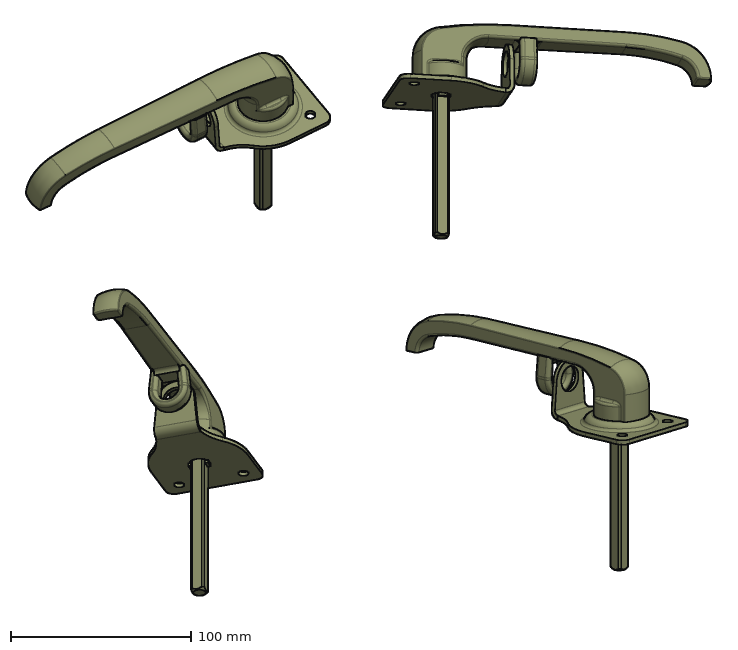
import cadquery as cq
import math


plate_thickness = 2.5
plate_half_width = 28.6
plate_back_y = 28.2
plate_corner_radius = 5.0
screw_hole_offset = 19.0
screw_hole_diameter = 5.6
shoulder_end_y = -19.7
flange_outer_y = -39.0
bend_outer_radius = 2 * plate_thickness
flange_base_half_width = 13.0
flange_tip_radius = 11.0
flange_hole_z = 20.6
flange_hole_diameter = 14.3

dome_top_z = 6.9
dome_flat_radius = 15.4
dome_waist_radius = 19.5
dome_waist_z = 4.2
dome_foot_radius = 21.7
spindle_bore_diameter = 10.9

hub_diameter = 28.5
hub_radius = hub_diameter / 2
hub_top_z = 16.6
hub_edge_fillet = 1.5
hub_flank_fillet = 1.6

overall_length = 181.0
lever_back_y = 15.7
lever_tip_y = plate_back_y - overall_length
lever_tip_z = 16.8
crest_z = 42.5
crest_flat_back_y = -36.2
crest_flat_front_y = -103.2
back_arc_radius = 16.3
back_arc_center_z = 22.8
tip_arc_radius = 22.6
underside_z = 32.5
tip_thickness = 9.5
tip_inner_radius = 11.8
throat_radius = 12.0
lever_back_half_width = 10.5
lever_tip_half_width = 7.5
crown_radius = 21.7
crown_half_width = 12.7
crown_depth = 5.5
core_inset = 3.6
crest_edge_fillet = 0.5
underside_edge_fillet = 1.6
tip_end_fillet = 0.9

loop_center_y = -47.8
loop_width = 9.8
loop_center_z = 20.8
loop_outer_radius = 11.4
loop_hole_diameter = 12.7
loop_shoulder_z = 22.3
loop_top_half_width = 10.1
loop_slot_top_half_width = 5.2
loop_edge_fillet = 2.26
loop_flare_radius = 2.7
loop_root_z = 33.7

spindle_width = 8.0
spindle_corner_chamfer = 1.0
spindle_bottom_z = -82.2
spindle_top_z = 16.3
spindle_end_chamfer = 1.5
key_length = 11.8
key_width = 4.7
key_height = 1.6


def flat_blend(center, radius, flat_point):
    """Point where an arc about center meets the large arc tangent to it and to the flat at flat_point."""
    run = center[0] - flat_point[0]
    rise = flat_point[1] - center[1]
    large_radius = (run**2 + rise**2 - radius**2) / (2 * (rise - radius))
    lift = large_radius - rise
    distance = math.hypot(run, lift)
    return (center[0] + radius * run / distance, center[1] + radius * lift / distance)


def crest_line(inset):
    """Lever top line in the YZ plane, from the hub base over the crest down to the tip."""
    back_radius = back_arc_radius - inset
    tip_radius = tip_arc_radius - inset
    top_z = crest_z - inset
    back_center = (lever_back_y - back_arc_radius, back_arc_center_z)
    tip_center = (lever_tip_y + tip_arc_radius, lever_tip_z)
    back_flat = (crest_flat_back_y, top_z)
    front_flat = (crest_flat_front_y, top_z)
    return (
        cq.Workplane("YZ")
        .moveTo(lever_back_y - inset, dome_top_z)
        .lineTo(lever_back_y - inset, back_arc_center_z)
        .tangentArcPoint(flat_blend(back_center, back_radius, back_flat), relative=False)
        .tangentArcPoint(back_flat, relative=False)
        .lineTo(*front_flat)
        .tangentArcPoint(flat_blend(tip_center, tip_radius, front_flat), relative=False)
        .tangentArcPoint((lever_tip_y + inset, lever_tip_z), relative=False)
    )


def lever_crown():
    """Rounded outer skin of the lever, swept along the crest line."""
    edge_y = lever_back_y - crown_radius + math.sqrt(crown_radius**2 - crown_half_width**2)
    section = (
        cq.Workplane("XY", origin=(0, 0, dome_top_z))
        .moveTo(-crown_half_width, lever_back_y - crown_depth)
        .lineTo(-crown_half_width, edge_y)
        .threePointArc((0, lever_back_y), (crown_half_width, edge_y))
        .lineTo(crown_half_width, lever_back_y - crown_depth)
        .close()
    )
    return section.sweep(crest_line(0))


def lever_core():
    """Inner part of the lever, between the crown and the underside."""
    inner_y = lever_tip_y + tip_thickness
    inner_center = (inner_y + tip_inner_radius, lever_tip_z)
    underside_start = (crest_flat_front_y, underside_z)
    inner_reach = tip_inner_radius * math.sqrt(0.5)
    return (
        crest_line(core_inset)
        .lineTo(inner_y, lever_tip_z)
        .threePointArc(
            (inner_center[0] - inner_reach, inner_center[1] + inner_reach),
            flat_blend(inner_center, tip_inner_radius, underside_start),
        )
        .tangentArcPoint(underside_start, relative=False)
        .lineTo(-hub_radius - throat_radius, underside_z)
        .lineTo(-hub_radius, dome_top_z)
        .close()
        .extrude(crown_half_width, both=True)
    )


def lever_plan():
    """Tapering plan outline of the lever, as a tall prism."""
    return (
        cq.Workplane("XY")
        .moveTo(-lever_back_half_width, lever_back_y)
        .lineTo(lever_back_half_width, lever_back_y)
        .lineTo(lever_tip_half_width, lever_tip_y)
        .lineTo(-lever_tip_half_width, lever_tip_y)
        .close()
        .extrude(crest_z)
    )


def throat():
    """Space in front of the hub: below the lever, outside a flare turned about the hub axis."""
    flare_x = hub_radius + throat_radius
    flare_z = underside_z - throat_radius
    flare_reach = throat_radius * math.sqrt(0.5)
    return (
        cq.Workplane("XZ")
        .moveTo(hub_radius, 0)
        .lineTo(hub_radius, flare_z)
        .threePointArc((flare_x - flare_reach, flare_z + flare_reach), (flare_x, underside_z))
        .lineTo(flare_x + throat_radius, underside_z)
        .lineTo(flare_x + throat_radius, 0)
        .close()
        .revolve(180, (0, 0, 0), (0, -1, 0))
    )


def is_crest_edge(edge):
    """True for a flank edge along the crest or up the back of the lever."""
    box = edge.BoundingBox()
    return box.zmax > underside_z + crest_edge_fillet or (box.ymin > 0 and box.zmax > hub_top_z)


def is_underside_edge(edge):
    """True for a flank edge along the underside, the throat or the front of the hub."""
    box = edge.BoundingBox()
    return box.zmax > lever_tip_z + crest_edge_fillet and not is_crest_edge(edge)


def is_hub_edge(edge):
    """True for a flank edge where the hub side or hub top meets the flank, behind the hub front."""
    box = edge.BoundingBox()
    return hub_top_z - 0.2 < box.zmax < hub_top_z + 0.2


def flank_edges(body, wanted):
    """Edges of the two flat lever flanks that the function wanted accepts."""
    flanks = [face for face in body.faces("%PLANE").vals() if abs(face.normalAt().x) > 0.9]
    return [edge for flank in flanks for edge in flank.Edges() if wanted(edge)]


def build_lever():
    """Lever with rounded crest, underside and tip edges."""
    lever = lever_crown().union(lever_core()).intersect(lever_plan()).cut(throat())
    lever = lever.newObject(flank_edges(lever, is_underside_edge)).fillet(underside_edge_fillet)
    lever = lever.newObject(flank_edges(lever, is_crest_edge)).fillet(crest_edge_fillet)
    tip_end = cq.selectors.NearestToPointSelector((0, lever_tip_y + tip_thickness / 2, lever_tip_z))
    return lever.faces(tip_end).edges().fillet(tip_end_fillet)


def build_hub():
    """Round hub below the lever, with a rounded top edge."""
    return (
        cq.Workplane("XY", origin=(0, 0, dome_top_z))
        .circle(hub_radius)
        .extrude(hub_top_z - dome_top_z)
        .faces(">Z")
        .edges()
        .fillet(hub_edge_fillet)
    )


def build_loop():
    """Locking loop: two legs joined by a half ring, with rounded front and back edges."""
    hole_radius = loop_hole_diameter / 2
    loop_plane = cq.Workplane("XZ", origin=(0, loop_center_y + loop_width / 2, 0))
    loop = (
        loop_plane.moveTo(-loop_top_half_width, loop_root_z)
        .lineTo(-loop_outer_radius, loop_shoulder_z)
        .lineTo(-loop_outer_radius, loop_center_z)
        .threePointArc((0, loop_center_z - loop_outer_radius), (loop_outer_radius, loop_center_z))
        .lineTo(loop_outer_radius, loop_shoulder_z)
        .lineTo(loop_top_half_width, loop_root_z)
        .close()
        .extrude(loop_width)
    )
    slot = (
        loop_plane.moveTo(-loop_slot_top_half_width, loop_root_z)
        .lineTo(-hole_radius, loop_center_z)
        .threePointArc((0, loop_center_z - hole_radius), (hole_radius, loop_center_z))
        .lineTo(loop_slot_top_half_width, loop_root_z)
        .close()
        .extrude(loop_width)
    )
    return loop.cut(slot).faces("<Y or >Y").edges("not >Z").fillet(loop_edge_fillet)


def build_loop_flares():
    """Concave webs that lead the front and back of the loop legs into the lever underside."""
    half_width = loop_width / 2
    inset_y = half_width - loop_edge_fillet
    flare_y = half_width + loop_flare_radius
    flare_z = underside_z - loop_flare_radius
    flare_reach = loop_flare_radius * math.sqrt(0.5)
    return (
        cq.Workplane("YZ", origin=(0, loop_center_y, 0))
        .moveTo(-inset_y, loop_root_z)
        .lineTo(-flare_y, loop_root_z)
        .lineTo(-flare_y, underside_z)
        .threePointArc((-flare_y + flare_reach, flare_z + flare_reach), (-half_width, flare_z))
        .lineTo(half_width, flare_z)
        .threePointArc((flare_y - flare_reach, flare_z + flare_reach), (flare_y, underside_z))
        .lineTo(flare_y, loop_root_z)
        .close()
        .extrude(loop_slot_top_half_width + loop_edge_fillet, both=True)
    )


def spindle_square():
    """Full-length spindle bar with chamfered corners."""
    return (
        cq.Workplane("XY", origin=(0, 0, spindle_bottom_z))
        .rect(spindle_width, spindle_width)
        .extrude(spindle_top_z - spindle_bottom_z)
        .edges("|Z")
        .chamfer(spindle_corner_chamfer)
    )


def build_key():
    """Flat cross key through the spindle, bearing on the underside of the plate."""
    return cq.Workplane("XY", origin=(0, 0, -key_height)).rect(key_length, key_width).extrude(key_height)


def build_spindle():
    """Square spindle with a coned lower end and a cross slot for the key."""
    corner_radius = math.hypot(spindle_width / 2, spindle_width / 2 - spindle_corner_chamfer)
    turned_blank = (
        cq.Workplane("XY", origin=(0, 0, spindle_bottom_z))
        .circle(corner_radius)
        .extrude(spindle_top_z - spindle_bottom_z)
        .faces("<Z")
        .edges()
        .chamfer(spindle_end_chamfer)
    )
    return spindle_square().intersect(turned_blank).cut(build_key())


def build_handle():
    """Lever, hub and locking loop in one casting, with a socket for the spindle."""
    handle = build_lever().union(build_hub())
    handle = handle.newObject(flank_edges(handle, is_hub_edge)).fillet(hub_flank_fillet)
    handle = handle.union(build_loop_flares()).union(build_loop())
    return handle.cut(spindle_square())


def build_plate_sheet():
    """Flat sheet with shoulders that curve in about the turning axis, then out to the flange."""
    shoulder_angle = math.asin(-shoulder_end_y / plate_half_width)
    shoulder_x = plate_half_width * math.cos(shoulder_angle)
    bend_y = flange_outer_y + bend_outer_radius
    neck_offset = math.sqrt(plate_half_width**2 - (bend_y - 2 * shoulder_end_y) ** 2)
    half_sheet = (
        cq.Workplane("XY")
        .moveTo(0, plate_back_y)
        .lineTo(plate_half_width, plate_back_y)
        .lineTo(plate_half_width, 0)
        .threePointArc(
            (
                plate_half_width * math.cos(shoulder_angle / 2),
                -plate_half_width * math.sin(shoulder_angle / 2),
            ),
            (shoulder_x, shoulder_end_y),
        )
        .tangentArcPoint((2 * shoulder_x - neck_offset, bend_y), relative=False)
        .lineTo(0, bend_y)
        .close()
        .extrude(plate_thickness)
        .edges("|Z and >X and >Y")
        .fillet(plate_corner_radius)
    )
    return half_sheet.union(half_sheet.mirror("YZ"))


def build_flange():
    """Bent-up flange with a tapered outline, a round top and a padlock hole."""
    flange_height = flange_hole_z + flange_tip_radius
    bend_y = flange_outer_y + bend_outer_radius
    strip = (
        cq.Workplane("YZ")
        .moveTo(bend_y, 0)
        .radiusArc((flange_outer_y, bend_outer_radius), bend_outer_radius)
        .lineTo(flange_outer_y, flange_height)
        .lineTo(flange_outer_y + plate_thickness, flange_height)
        .lineTo(flange_outer_y + plate_thickness, bend_outer_radius)
        .radiusArc((bend_y, plate_thickness), plate_thickness - bend_outer_radius)
        .close()
        .extrude(flange_base_half_width, both=True)
    )
    outline = (
        cq.Workplane("XZ", origin=(0, bend_y, 0))
        .moveTo(-flange_base_half_width, 0)
        .lineTo(-flange_tip_radius, flange_hole_z)
        .threePointArc((0, flange_height), (flange_tip_radius, flange_hole_z))
        .lineTo(flange_base_half_width, 0)
        .close()
        .extrude(bend_outer_radius)
    )
    hole = (
        cq.Workplane("XZ", origin=(0, bend_y, flange_hole_z))
        .circle(flange_hole_diameter / 2)
        .extrude(bend_outer_radius)
    )
    return strip.intersect(outline).cut(hole)


def build_dome():
    """Dome turned about the Z axis: a flat top rolling over into a hollow foot on the plate."""
    top_run = dome_waist_radius - dome_flat_radius
    top_drop = dome_top_z - dome_waist_z
    foot_run = dome_foot_radius - dome_waist_radius
    foot_drop = dome_waist_z - plate_thickness
    top_arc_radius = (top_run**2 + top_drop**2) / (2 * top_drop)
    foot_arc_radius = (foot_run**2 + foot_drop**2) / (2 * foot_drop)
    return (
        cq.Workplane("XZ")
        .lineTo(0, dome_top_z)
        .lineTo(dome_flat_radius, dome_top_z)
        .radiusArc((dome_waist_radius, dome_waist_z), top_arc_radius)
        .radiusArc((dome_foot_radius, plate_thickness), -foot_arc_radius)
        .lineTo(dome_foot_radius, 0)
        .close()
        .revolve(360, (0, 0, 0), (0, 1, 0))
    )


def build_plate():
    """Mounting plate with dome, flange, screw holes and the spindle bore."""
    plate = build_plate_sheet().union(build_flange()).union(build_dome())
    screw_holes = (
        cq.Workplane("XY")
        .pushPoints([(side * screw_hole_offset, screw_hole_offset) for side in (-1, 1)])
        .circle(screw_hole_diameter / 2)
        .extrude(dome_top_z)
    )
    spindle_bore = cq.Workplane("XY").circle(spindle_bore_diameter / 2).extrude(dome_top_z)
    return plate.cut(screw_holes).cut(spindle_bore)


plate = build_plate()
handle = build_handle()
spindle = build_spindle()
key = build_key()

result = cq.Compound.makeCompound([plate.val(), handle.val(), spindle.val(), key.val()])